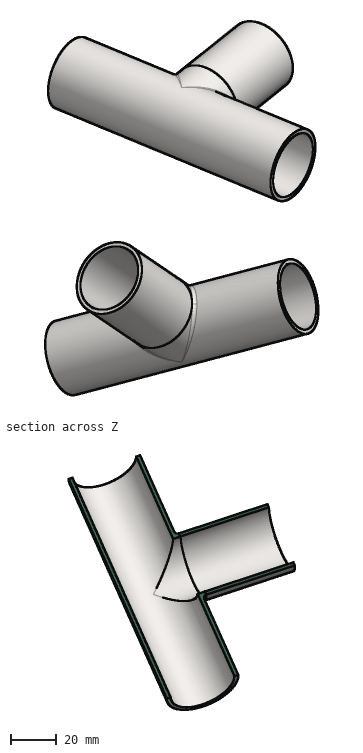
import cadquery as cq

run_length = 120.0
outer_diameter = 33.7
bore_diameter = 29.8
overall_depth = 76.8
joint_distance = 18.5
crotch_radius = 1.5

outer_radius = outer_diameter / 2
branch_end = overall_depth - outer_radius


def run_cylinder(diameter):
    """Solid cylinder along X, centred on the origin."""
    return cq.Workplane("YZ").circle(diameter / 2).extrude(run_length / 2, both=True)


def branch_cylinder(diameter, start, end):
    """Solid cylinder along +Y between two distances from the run axis."""
    plane = cq.Plane(origin=(0, start, 0), xDir=(1, 0, 0), normal=(0, 1, 0))
    return cq.Workplane(plane).circle(diameter / 2).extrude(end - start)


def make_tee():
    """Through run with a short branch, rounded in the crotch and bored through."""
    outside = run_cylinder(outer_diameter).union(branch_cylinder(outer_diameter, 0, joint_distance))
    outside = outside.edges("%ELLIPSE").fillet(crotch_radius)
    bores = run_cylinder(bore_diameter).union(branch_cylinder(bore_diameter, 0, joint_distance))
    return outside.cut(bores)


def make_branch_pipe():
    """Plain tube from the joint face to the open end of the branch."""
    outside = branch_cylinder(outer_diameter, joint_distance, branch_end)
    return outside.cut(branch_cylinder(bore_diameter, joint_distance, branch_end))


tee = make_tee()
branch_pipe = make_branch_pipe()

result = cq.Compound.makeCompound([tee.val(), branch_pipe.val()])